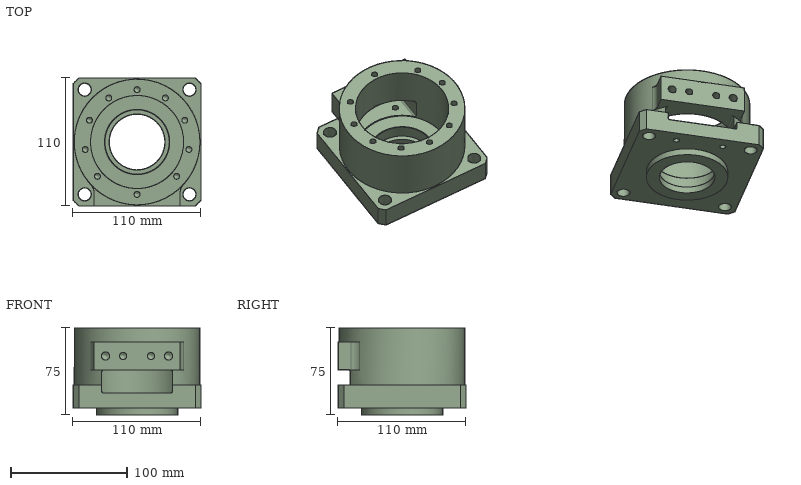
import cadquery as cq
import math

plate_side = 110.0
plate_height = 20.0
plate_chamfer = 5.0
corner_hole_pitch = 90.0
corner_hole_diameter = 11.0

hub_diameter = 70.0
hub_height = 6.0

total_height = 75.0
ring_top = total_height - hub_height
ring_diameter = 108.0
bore_diameter = 80.0
bore_depth = 57.0
seat_diameter = 55.3
seat_chamfer = 0.3
through_diameter = 47.7

ring_hole_steps = 11
ring_hole_circle = 90.0
ring_hole_diameter = 5.1
ring_hole_depth = 10.0

block_width = 73.9
block_height = 24.0
block_top_drop = 12.2
block_top = ring_top - block_top_drop
block_bottom = block_top - block_height
block_blend_radius = 10.5

outer_port = (27.1, 7.0)
inner_port = (12.0, 6.0)
port_depth = 12.0

window_width = 60.7
window_sink = 6.9
window_corner_radius = 1.5
window_hole_pitch = 41.0
window_hole_y = -44.3
window_hole_diameter = 5.1

drill_point_angle = 118.0


def cylinder(diameter, bottom, top):
    """Upright cylinder on the ring's axis."""
    return cq.Workplane("XY").workplane(offset=bottom).circle(diameter / 2).extrude(top - bottom)


def drilled_hole(diameter, depth, entry, direction):
    """Blind hole to cut away: a cylinder ending in a drill point."""
    radius = diameter / 2
    point_length = radius / math.tan(math.radians(drill_point_angle / 2))
    start = cq.Vector(*entry)
    axis = cq.Vector(*direction)
    shank = cq.Solid.makeCylinder(radius, depth, start, axis)
    point = cq.Solid.makeCone(radius, 0, point_length, start + axis * depth, axis)
    return cq.Workplane(obj=shank).union(cq.Workplane(obj=point))


def make_plate():
    plate = cq.Workplane("XY").rect(plate_side, plate_side).extrude(plate_height)
    plate = plate.edges("|Z").chamfer(plate_chamfer)
    corner_holes = (
        cq.Workplane("XY")
        .rect(corner_hole_pitch, corner_hole_pitch, forConstruction=True)
        .vertices()
        .circle(corner_hole_diameter / 2)
        .extrude(plate_height)
    )
    return plate.cut(corner_holes)


def make_block():
    """Block whose sides run back and flare tangentially into the ring."""
    half_width = block_width / 2
    front = -plate_side / 2
    ring_radius = ring_diameter / 2
    centre_x = half_width + block_blend_radius
    centre_distance = ring_radius + block_blend_radius
    centre_y = -math.sqrt(centre_distance**2 - centre_x**2)
    end_x = centre_x * ring_radius / centre_distance
    end_y = centre_y * ring_radius / centre_distance
    middle_angle = (math.pi + math.atan2(end_y - centre_y, end_x - centre_x)) / 2
    middle_x = centre_x + block_blend_radius * math.cos(middle_angle)
    middle_y = centre_y + block_blend_radius * math.sin(middle_angle)
    return (
        cq.Workplane("XY")
        .workplane(offset=block_bottom)
        .moveTo(-half_width, front)
        .lineTo(half_width, front)
        .lineTo(half_width, centre_y)
        .threePointArc((middle_x, middle_y), (end_x, end_y))
        .lineTo(-end_x, end_y)
        .threePointArc((-middle_x, middle_y), (-half_width, centre_y))
        .close()
        .extrude(block_height)
    )


def make_bore():
    bore_floor = ring_top - bore_depth
    bore = cylinder(bore_diameter, bore_floor, ring_top)
    seat = cylinder(seat_diameter, 0, bore_floor)
    through = cylinder(through_diameter, -hub_height, bore_floor)
    seat_radius = seat_diameter / 2
    seat_mouth = cq.Solid.makeCone(
        seat_radius, seat_radius + seat_chamfer, seat_chamfer, cq.Vector(0, 0, bore_floor - seat_chamfer)
    )
    return bore.union(seat).union(through).union(cq.Workplane(obj=seat_mouth))


def make_window():
    window_floor = plate_height - window_sink
    return (
        cq.Workplane("XY")
        .box(
            window_width,
            plate_side / 2,
            block_bottom - window_floor,
            centered=(True, False, False),
        )
        .edges("|Y")
        .fillet(window_corner_radius)
        .translate((0, -plate_side / 2, window_floor))
    )


def make_window_holes():
    return (
        cq.Workplane("XY")
        .pushPoints([(side * window_hole_pitch / 2, window_hole_y) for side in (-1, 1)])
        .circle(window_hole_diameter / 2)
        .extrude(plate_height)
    )


def ring_hole_angles():
    """Hole directions in degrees, counted both ways from the rear (+Y)."""
    step = 360 / ring_hole_steps
    steps_each_side = (ring_hole_steps - 3) // 2
    rear_angles = [90 + i * step for i in range(-steps_each_side, steps_each_side + 1)]
    return rear_angles + [-90]


body = make_plate()
body = body.union(cylinder(hub_diameter, -hub_height, 0))
body = body.union(cylinder(ring_diameter, plate_height, ring_top))
body = body.union(make_block())
body = body.cut(make_bore())
body = body.cut(make_window())
body = body.cut(make_window_holes())

for angle in ring_hole_angles():
    hole_x = ring_hole_circle / 2 * math.cos(math.radians(angle))
    hole_y = ring_hole_circle / 2 * math.sin(math.radians(angle))
    entry = (hole_x, hole_y, ring_top)
    body = body.cut(drilled_hole(ring_hole_diameter, ring_hole_depth, entry, (0, 0, -1)))

port_z = (block_top + block_bottom) / 2
for offset, diameter in (outer_port, inner_port):
    for side in (-1, 1):
        entry = (side * offset, -plate_side / 2, port_z)
        body = body.cut(drilled_hole(diameter, port_depth, entry, (0, 1, 0)))

result = body